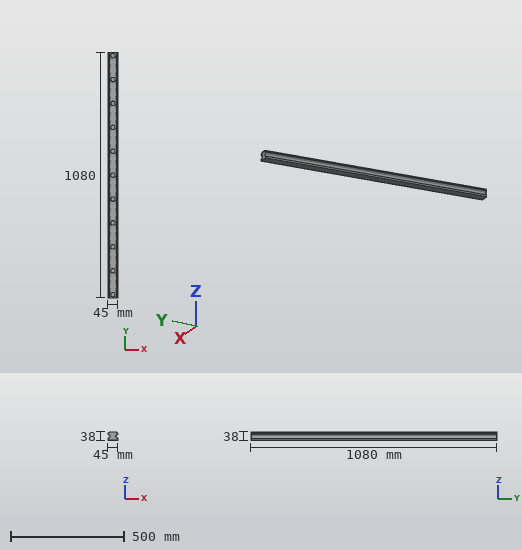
import cadquery as cq

LENGTH = 1080.0
WIDTH = 45.0
HEIGHT = 38.0

FOOT_HEIGHT = 8.0
WAIST_HALF_WIDTH = 13.2
WAIST_BOTTOM = 16.0
WAIST_TOP = 20.5
WAIST_FILLET = 2.0

HEAD_SIDE_BOTTOM = 28.0
HEAD_SIDE_TOP = 31.0
SHOULDER_HALF_WIDTH = 19.5
SHOULDER_HEIGHT = 33.7
TOP_HALF_WIDTH = 15.0
TOP_STEP = 2.3

MOUNT_COUNT = 11
MOUNT_PITCH = 105.0
MOUNT_DIAMETER = 20.0
MOUNT_DEPTH = 0.5

SELECTION_MARGIN = 1.0


def make_rail():
    """Extrude the symmetric rail section along Y, centred on the origin."""
    half_width = WIDTH / 2
    right_side = [
        (half_width, 0),
        (half_width, FOOT_HEIGHT),
        (WAIST_HALF_WIDTH, WAIST_BOTTOM),
        (WAIST_HALF_WIDTH, WAIST_TOP),
        (half_width, HEAD_SIDE_BOTTOM),
        (half_width, HEAD_SIDE_TOP),
        (SHOULDER_HALF_WIDTH, SHOULDER_HEIGHT),
        (TOP_HALF_WIDTH, HEIGHT - TOP_STEP),
        (TOP_HALF_WIDTH, HEIGHT),
    ]
    left_side = [(-x, z) for x, z in reversed(right_side)]
    section = cq.Workplane("XZ").polyline(right_side + left_side).close()
    rail = section.extrude(LENGTH / 2, both=True)
    waist_corners = cq.selectors.BoxSelector(
        (-WAIST_HALF_WIDTH - SELECTION_MARGIN, -LENGTH, WAIST_BOTTOM - SELECTION_MARGIN),
        (WAIST_HALF_WIDTH + SELECTION_MARGIN, LENGTH, WAIST_TOP + SELECTION_MARGIN),
    )
    return rail.edges("|Y").edges(waist_corners).fillet(WAIST_FILLET)


def make_mount_recesses():
    """Row of shallow round recesses in the top face."""
    first_y = -MOUNT_PITCH * (MOUNT_COUNT - 1) / 2
    centres = [(0, first_y + i * MOUNT_PITCH) for i in range(MOUNT_COUNT)]
    top_plane = cq.Workplane("XY", origin=(0, 0, HEIGHT))
    return top_plane.pushPoints(centres).circle(MOUNT_DIAMETER / 2).extrude(-MOUNT_DEPTH)


result = make_rail().cut(make_mount_recesses())